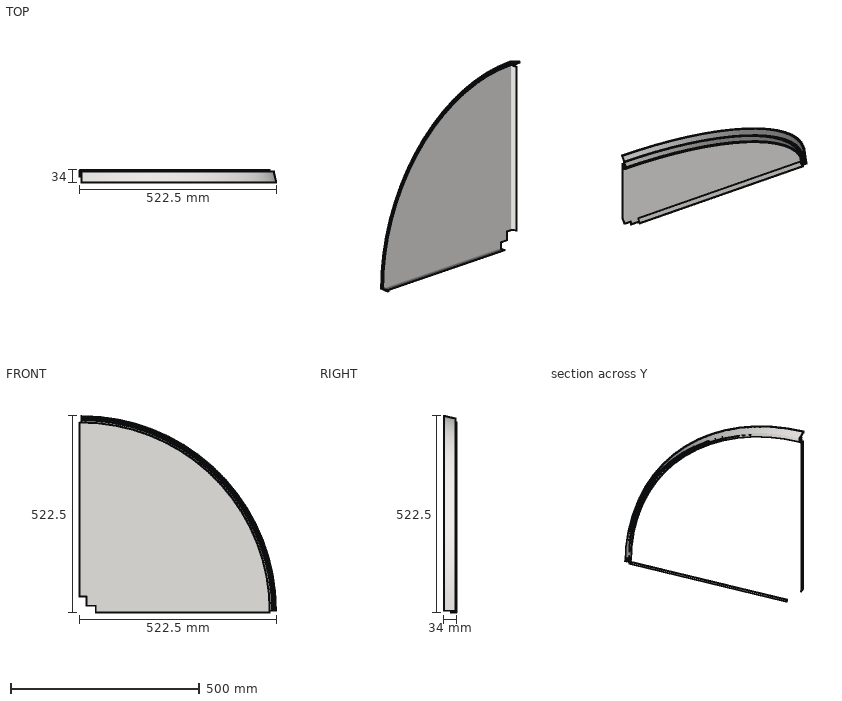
import cadquery as cq

SIZE = 522.5
DEPTH = 34.0
SHEET = 1.0
BEND_RADIUS = 2.5

ARC_CENTER = 5.0
OUTER_RADIUS = SIZE - ARC_CENTER
PANEL_RADIUS = 500.5
BEAD_RADIUS = 506.5
BEAD_DEPTH = 19.0
FLARE_ROOT_RADIUS = 511.5
WEB_BACK = 3.0
FLARE_START = 6.5
HEM_DEPTH = 4.0
HEM_WIDTH = 3.0

FLANGE_DEPTH = 18.0
BOTTOM_FLANGE_DEPTH = 15.5
END_TAPER = 2.0
NOTCH_INNER = 18.5
NOTCH_OUTER = 43.0
EDGE_END = ARC_CENTER + PANEL_RADIUS - SHEET


def flat_panel():
    """Quarter-round sheet with a stepped notch at the square corner."""
    arc_end = ARC_CENTER + PANEL_RADIUS
    arc_mid = ARC_CENTER + PANEL_RADIUS * 0.5 ** 0.5
    return (
        cq.Workplane("XZ")
        .moveTo(0, NOTCH_OUTER)
        .lineTo(NOTCH_INNER, NOTCH_OUTER)
        .lineTo(NOTCH_INNER, NOTCH_INNER)
        .lineTo(NOTCH_OUTER, NOTCH_INNER)
        .lineTo(NOTCH_OUTER, 0)
        .lineTo(EDGE_END, 0)
        .lineTo(arc_end, ARC_CENTER)
        .threePointArc((arc_mid, arc_mid), (ARC_CENTER, arc_end))
        .lineTo(0, EDGE_END)
        .close()
        .extrude(SHEET)
    )


def straight_flange(plane, depth, thickness):
    """Edge flange with mitred ends, drawn as (position along edge, Y)."""
    outline = [
        (NOTCH_OUTER, 0),
        (EDGE_END, 0),
        (EDGE_END - END_TAPER, -depth),
        (NOTCH_OUTER + END_TAPER, -depth),
    ]
    return cq.Workplane(plane).polyline(outline).close().extrude(thickness)


def quarter_ring(profile):
    """Sweep a (radius, Y) profile a quarter turn about the rim axis."""
    center = cq.Vector(ARC_CENTER, 0, ARC_CENTER)
    return (
        cq.Workplane("XY", origin=center)
        .polyline(profile)
        .close()
        .revolve(90, (0, 0), (0, -1))
    )


def bead():
    """Open channel along the curved edge, closed at the back by its web."""
    inner = PANEL_RADIUS - SHEET
    web_front = -WEB_BACK - SHEET
    return quarter_ring([
        (inner, 0),
        (PANEL_RADIUS, 0),
        (PANEL_RADIUS, -WEB_BACK),
        (BEAD_RADIUS, -WEB_BACK),
        (BEAD_RADIUS, -BEAD_DEPTH),
        (BEAD_RADIUS - SHEET, -BEAD_DEPTH),
        (BEAD_RADIUS - SHEET, web_front),
        (PANEL_RADIUS, web_front),
        (PANEL_RADIUS, -BEAD_DEPTH),
        (inner, -BEAD_DEPTH),
    ])


def flared_lip():
    """Narrow web outside the channel, then a flared lip with a hemmed tip."""
    web_front = -WEB_BACK - SHEET
    flare_end = -DEPTH + HEM_DEPTH
    return quarter_ring([
        (PANEL_RADIUS, -WEB_BACK),
        (FLARE_ROOT_RADIUS, -WEB_BACK),
        (FLARE_ROOT_RADIUS, -FLARE_START),
        (OUTER_RADIUS, flare_end),
        (OUTER_RADIUS, -DEPTH),
        (OUTER_RADIUS - HEM_WIDTH, -DEPTH),
        (OUTER_RADIUS - HEM_WIDTH, -DEPTH + SHEET),
        (OUTER_RADIUS - SHEET, -DEPTH + SHEET),
        (OUTER_RADIUS - SHEET, flare_end),
        (FLARE_ROOT_RADIUS - SHEET, -FLARE_START),
        (FLARE_ROOT_RADIUS - SHEET, web_front),
        (PANEL_RADIUS, web_front),
    ])


def round_fold(body, x, z):
    """Round the outside and inside of the fold along one straight edge."""
    inside = (max(x, SHEET), -SHEET, max(z, SHEET))
    body = body.edges(cq.NearestToPointSelector((x, 0, z))).fillet(BEND_RADIUS)
    return body.edges(cq.NearestToPointSelector(inside)).fillet(BEND_RADIUS - SHEET)


left_flange = straight_flange("ZY", FLANGE_DEPTH, -SHEET)
bottom_flange = straight_flange("XY", BOTTOM_FLANGE_DEPTH, SHEET)
edge_middle = (NOTCH_OUTER + EDGE_END) / 2

panel = flat_panel().union(left_flange).union(bottom_flange)
panel = round_fold(panel, 0, edge_middle)
panel = round_fold(panel, edge_middle, 0)

result = panel.union(bead()).union(flared_lip())